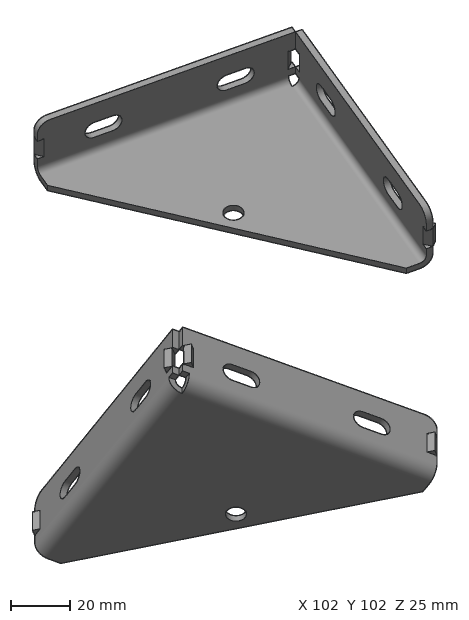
import cadquery as cq

length = 102.0
height = 25.0
sheet = 2.5
bend_inner = sheet
bend_outer = bend_inner + sheet

tooth_rise = 1.9
tooth_height = 8.4
corner_tooth_inset = 0.3

wall_outer = tooth_rise
wall_inner = wall_outer + sheet
bend_end = wall_outer + bend_outer
wall_start = wall_inner
wall_corner_radius = 5.0

slot_length = 14.0
slot_width = 7.0
slot_pitch = 50.0
slot_end_distance = 25.0
slot_z = 12.5
hole_diameter = 7.0
hole_offset = 52.0

plate_lip = 5.0


def tooth_prism(points):
    """Extrude an outline in plan through the height of the teeth."""
    return (
        cq.Workplane("XY", origin=(0, 0, slot_z - tooth_height / 2))
        .polyline(points)
        .close()
        .extrude(tooth_height)
    )


def add_tooth(wall, end, inward, inset):
    """Raise a tooth at a wall end; inward is +1 or -1 along X."""
    foot = end + inward * inset
    beyond = end - inward * sheet
    outer_y = -wall_outer
    inner_y = -wall_inner
    notch = tooth_prism([
        (beyond, outer_y),
        (foot, outer_y),
        (foot + inward * sheet, inner_y),
        (beyond, inner_y),
    ])
    tip = tooth_prism([
        (foot, outer_y),
        (foot + inward * tooth_rise, outer_y + tooth_rise),
        (foot + inward * 2 * tooth_rise, outer_y),
    ])
    return wall.cut(notch).union(tip)


def make_back_wall():
    """Slotted wall along X, with a tooth at each end."""
    wall = (
        cq.Workplane("XY", origin=(0, 0, bend_outer))
        .moveTo(wall_start, -wall_inner)
        .rect(length - wall_start, sheet, centered=False)
        .extrude(height - bend_outer)
        .edges("|Y and >X and >Z")
        .fillet(wall_corner_radius)
    )
    far_slot_x = length - slot_end_distance
    slots = (
        cq.Workplane("XZ")
        .pushPoints([(far_slot_x - slot_pitch, slot_z), (far_slot_x, slot_z)])
        .slot2D(slot_length, slot_width)
        .extrude(bend_end)
    )
    wall = wall.cut(slots)
    wall = add_tooth(wall, wall_start, 1, corner_tooth_inset)
    return add_tooth(wall, length, -1, 0)


def make_back_bend():
    """Quarter-round bend joining the back wall to the plate."""
    centre = cq.Workplane("YZ", origin=(bend_end, 0, 0)).center(-bend_end, bend_outer)
    run = length - bend_end
    ring = centre.circle(bend_outer).circle(bend_inner).extrude(run)
    quarter = centre.rect(bend_outer, -bend_outer, centered=False).extrude(run)
    return ring.intersect(quarter)


def make_plate():
    """Flat plate with a diagonal free edge and one hole."""
    lip_end = bend_end + plate_lip
    return (
        cq.Workplane("XY")
        .polyline([
            (bend_end, -bend_end),
            (length, -bend_end),
            (length, -lip_end),
            (lip_end, -length),
            (bend_end, -length),
        ])
        .close()
        .extrude(sheet)
        .cut(
            cq.Workplane("XY")
            .center(hole_offset, -hole_offset)
            .circle(hole_diameter / 2)
            .extrude(sheet)
        )
    )


back_side = make_back_wall().union(make_back_bend())

left_side = back_side.mirror("XZ").rotate((0, 0, 0), (0, 0, 1), -90)

result = make_plate().union(back_side).union(left_side)